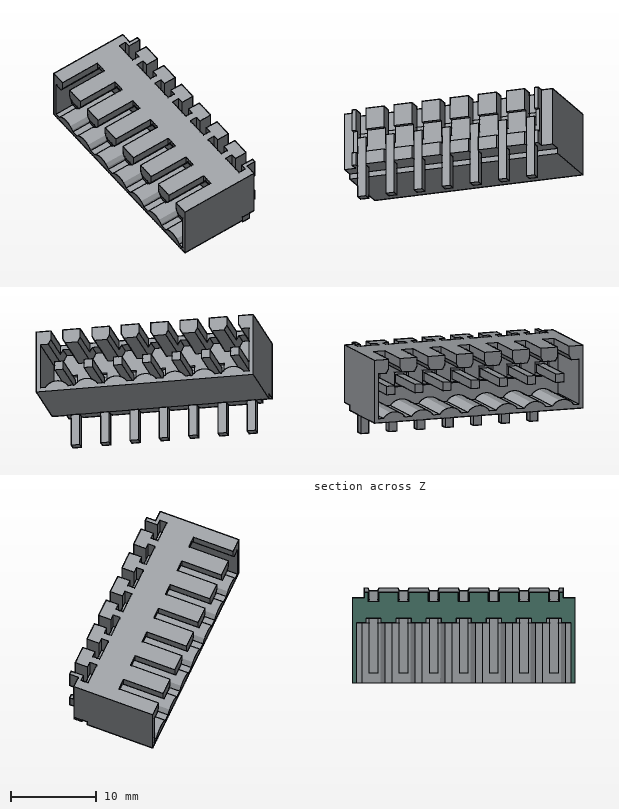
import cadquery as cq


length = 25.9
depth = 11.05
height = 7.45
heel_length = 2.8
heel_height = 0.62
corner_width = 1.37
corner_depth = 1.11

pin_count = 7
end_margin = 0.7
pitch = (length - 2 * end_margin) / pin_count
pin_positions = [(i - (pin_count - 1) / 2) * pitch for i in range(pin_count)]

wall = 0.5
cavity_depth = 7.0
ceiling_thickness = 1.63
ceiling_z = height - ceiling_thickness
channel_height = 1.1
channel_top_width = 0.8
channel_bottom_width = 2.0
rib_width = 2.7
rib_height = 0.7

slot_width = 1.4
slot_length = 5.0

pin_size = 1.0
pin_axis_drop = 3.94
pin_axis_z = height - pin_axis_drop
pin_top_z = pin_axis_z + pin_size / 2
pin_bottom_z = pin_axis_z - pin_size / 2
pin_front_y = 1.17
pin_back_gap = 0.3
pin_back_y = depth - pin_back_gap
pin_tail_z = -3.19

recess_size = 1.74
recess_depth = 0.52

back_slot_width = 1.25
back_slot_length = 1.55
pocket_width = 2.65
pocket_length = 0.88
pocket_depth = 2.56

groove_depth = 0.5
groove_height = 2.72
groove_bottom_z = 2.18
groove_top_z = groove_bottom_z + groove_height


def box(x_size, y_start, y_end, z_start, z_end, x_center=0.0):
    """Block centred on x_center, given by its Y and Z limits."""
    size = (x_size, y_end - y_start, z_end - z_start)
    return cq.Workplane("XY").box(*size, centered=(True, False, False)).translate((x_center, y_start, z_start))


def housing_shell():
    """Outer block with the raised heel and the two back corner reliefs."""
    shell = box(length, 0, depth, 0, height)
    shell = shell.cut(box(length, depth - heel_length, depth, 0, heel_height))
    corner_x = (length - corner_width) / 2
    for side in (-1, 1):
        shell = shell.cut(box(corner_width, depth - corner_depth, depth, 0, height, side * corner_x))
    return shell


def ceiling_channel(x):
    """Tapered channel above a pin."""
    return (
        cq.Workplane("XZ", origin=(x, 0, ceiling_z))
        .moveTo(-channel_bottom_width / 2, 0)
        .lineTo(-channel_top_width / 2, channel_height)
        .lineTo(channel_top_width / 2, channel_height)
        .lineTo(channel_bottom_width / 2, 0)
        .close()
        .extrude(-cavity_depth)
    )


def floor_rib(x):
    """Rounded rib below a pin."""
    return (
        cq.Workplane("XZ", origin=(x, 0, wall))
        .moveTo(-rib_width / 2, 0)
        .threePointArc((0, rib_height), (rib_width / 2, 0))
        .close()
        .extrude(-cavity_depth)
    )


def cavity():
    """Space inside the housing, with ceiling channels and without the floor ribs."""
    space = box(length - 2 * wall, 0, cavity_depth, wall, ceiling_z)
    for x in pin_positions:
        space = space.union(ceiling_channel(x)).cut(floor_rib(x))
    return space


def pin_seat(x):
    """Square recess around a pin where it leaves the back wall of the cavity."""
    z_half = recess_size / 2
    back_y = cavity_depth + recess_depth
    return box(recess_size, cavity_depth, back_y, pin_axis_z - z_half, pin_axis_z + z_half, x)


def back_opening(x):
    """T-shaped opening at the back: a slot down to the pin and a wider, shallower pocket before it."""
    slot_start = depth - back_slot_length
    slot = box(back_slot_width, slot_start, depth, pin_bottom_z, height, x)
    pocket = box(pocket_width, slot_start - pocket_length, slot_start, height - pocket_depth, height, x)
    return slot.union(pocket)


def tail_entry(x):
    """Flared mouth through which the tail of a pin enters from the back."""
    return (
        cq.Workplane("XY")
        .moveTo(x - pin_size / 2, pin_back_y)
        .lineTo(x - back_slot_width / 2, depth)
        .lineTo(x + back_slot_width / 2, depth)
        .lineTo(x + pin_size / 2, pin_back_y)
        .close()
        .extrude(pin_bottom_z)
    )


def make_pin(x):
    """Square right-angle pin: a straight contact and a tail bent down at the back."""
    contact = box(pin_size, pin_front_y, pin_back_y, pin_bottom_z, pin_top_z, x)
    tail = box(pin_size, pin_back_y - pin_size, pin_back_y, pin_tail_z, pin_top_z, x)
    return contact.union(tail)


def make_housing(pins):
    """Housing with all openings, and a fitting passage for each pin."""
    body = housing_shell().cut(cavity())
    body = body.cut(box(length, depth - groove_depth, depth, groove_bottom_z, groove_top_z))
    for x, pin in zip(pin_positions, pins):
        body = body.cut(box(slot_width, 0, slot_length, ceiling_z, height, x))
        body = body.cut(pin_seat(x))
        body = body.cut(back_opening(x))
        body = body.cut(tail_entry(x))
        body = body.cut(pin)
    return body


pins = [make_pin(x) for x in pin_positions]
housing = make_housing(pins)

result = cq.Compound.makeCompound([housing.val(), *[pin.val() for pin in pins]])